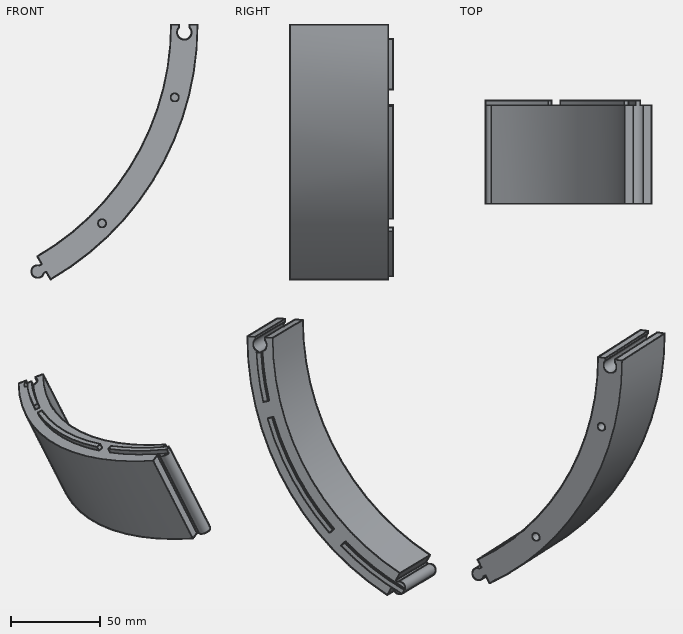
import cadquery as cq
import math

height = 142.8
sweep = 60.0
thickness = 15.0
outer_radius = height / math.sin(math.radians(sweep))
inner_radius = outer_radius - thickness
mid_radius = (outer_radius + inner_radius) / 2
body_width = 55.3
total_width = 58.0

socket_radius = 4.0
socket_offset = 4.3
socket_mouth = 5.7
knob_radius = 3.5
knob_offset = 4.0
knob_neck = 5.0

hole_radius = 2.3
hole_depth = 10.0
hole_angles = (15.0, 45.0)
rib_width = 2.7
rib_gap = 9.5
half_gap_angle = math.degrees(rib_gap / 2 / mid_radius)


def polar(radius, angle):
    """Point in the XZ plane, with the angle measured downwards from +X."""
    return radius * math.cos(math.radians(angle)), -radius * math.sin(math.radians(angle))


def side_plane():
    """Workplane on the front face whose negative extrusion runs towards +Y."""
    return cq.Workplane("XZ")


def arc_band(low_radius, high_radius, start, end, depth):
    middle = (start + end) / 2
    return (
        side_plane()
        .moveTo(*polar(low_radius, start))
        .threePointArc(polar(low_radius, middle), polar(low_radius, end))
        .lineTo(*polar(high_radius, end))
        .threePointArc(polar(high_radius, middle), polar(high_radius, start))
        .close()
        .extrude(-depth)
    )


def disc(radius, center, depth):
    return side_plane().center(*center).circle(radius).extrude(-depth)


def bar(width, top, bottom, depth):
    """Straight bar on the middle radius between two heights at the upper end."""
    return (
        side_plane()
        .center(mid_radius, (top + bottom) / 2)
        .rect(width, top - bottom)
        .extrude(-depth)
    )


def at_lower_end(solid):
    """Turn a solid built at the upper end round to the lower end."""
    return solid.rotate((0, 0, 0), (0, 1, 0), sweep)


def make_profile(depth):
    """Arc with its knob and socket, without the holes."""
    knob = disc(knob_radius, (mid_radius, -knob_offset), depth)
    neck = bar(knob_neck, knob_offset, -knob_offset, depth)
    socket = disc(socket_radius, (mid_radius, -socket_offset), depth)
    mouth = bar(socket_mouth, socket_offset, -socket_offset, depth)
    band = arc_band(inner_radius, outer_radius, 0, sweep, depth)
    return band.union(at_lower_end(knob)).union(at_lower_end(neck)).cut(socket).cut(mouth)


def make_rib():
    """Narrow rib along the middle radius, ending at the knob tip and the socket."""
    low_radius = mid_radius - rib_width / 2
    high_radius = mid_radius + rib_width / 2
    tail_angle = math.degrees((knob_offset + knob_radius) / mid_radius)
    rib = arc_band(low_radius, high_radius, 0, sweep + tail_angle, total_width)
    for angle in hole_angles:
        gap_start = angle - half_gap_angle
        gap_end = angle + half_gap_angle
        rib = rib.cut(arc_band(inner_radius, outer_radius, gap_start, gap_end, total_width))
    return rib.intersect(make_profile(total_width))


result = make_profile(body_width).union(make_rib())
for angle in hole_angles:
    result = result.cut(disc(hole_radius, polar(mid_radius, angle), hole_depth))